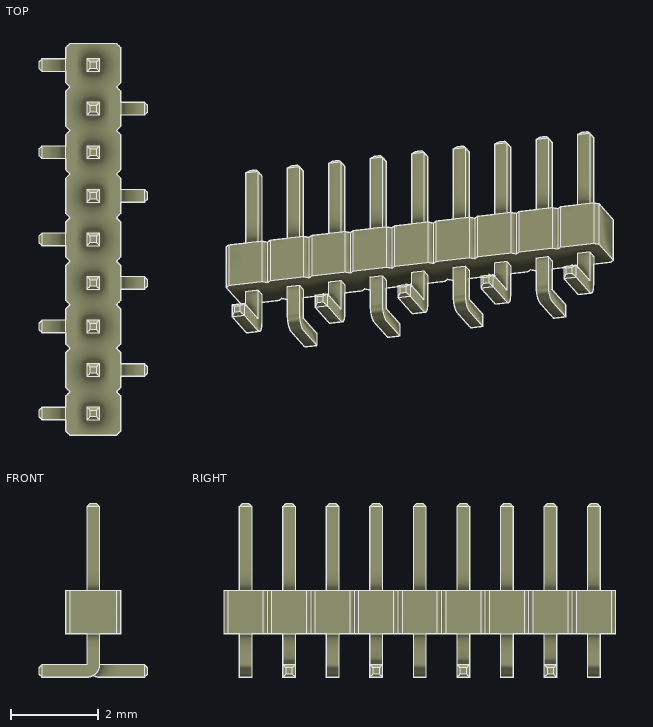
import cadquery as cq

pin_count = 9
row_length = 9.0
pitch = row_length / pin_count
total_height = 4.0
foot_span = 2.5

body_width = 1.27
body_bottom = 1.0
body_top = 2.0
corner_chamfer = 0.1

pin_size = 0.3
bend_radius = pin_size
tip_chamfer = 0.0765


def body_segment(y):
    """One chamfered block of the body, centred on a pin."""
    return (
        cq.Workplane("XY", origin=(0, y, body_bottom))
        .rect(body_width, pitch)
        .extrude(body_top - body_bottom)
        .edges("|Z")
        .chamfer(corner_chamfer)
    )


def bent_pin(y, direction):
    """An L-shaped pin whose foot points to -X (direction -1) or +X (direction 1)."""
    half_size = pin_size / 2
    inner_x = direction * half_size
    outer_x = -inner_x
    foot_x = direction * foot_span / 2
    pin = (
        cq.Workplane("XZ", origin=(0, y + half_size, 0))
        .moveTo(foot_x, 0)
        .lineTo(foot_x, pin_size)
        .lineTo(inner_x, pin_size)
        .lineTo(inner_x, total_height)
        .lineTo(outer_x, total_height)
        .lineTo(outer_x, bend_radius)
        .radiusArc((outer_x + direction * bend_radius, 0), -direction * bend_radius)
        .close()
        .extrude(pin_size)
    )
    foot_end = "<X" if direction < 0 else ">X"
    return pin.faces(">Z").chamfer(tip_chamfer).faces(foot_end).chamfer(tip_chamfer)


result = cq.Workplane("XY")
for index in range(pin_count):
    y = (index - (pin_count - 1) / 2) * pitch
    direction = -1 if index % 2 == 0 else 1
    result = result.union(body_segment(y)).union(bent_pin(y, direction))